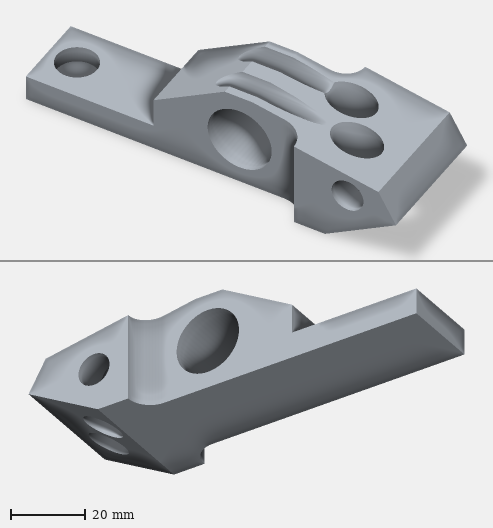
import cadquery as cq
import math

length = 120.0
height = 30.0
plate_length = 40.0
plate_thickness = 8.0
crest_start = 62.3
crest_end = 71.0
nose_tip_z = 12.8
rear_slope = 30.0
front_slope = 10.0
nose_slope = 60.0
underside_slope = 30.0

head_width = 38.0
arm_width = 24.0
shoulder_radius = (head_width - arm_width) / 2
shoulder_start = 81.0

bore_diameter = 20.0
bore_x = 67.0
bore_z = height / 2

plate_hole_diameter = 12.5
plate_hole_x = 9.0
plate_hole_depth = 5.0

lane_offset = 6.0
inclined_diameter = 12.0
inclined_angle = 60.0
near_hole_x = 100.2
far_hole_x = 91.5
groove_radius = 3.5
side_hole_diameter = 10.0
near_side_hole_z = 16.8
far_side_hole_z = 13.3


def tan_deg(angle):
    return math.tan(math.radians(angle))


def front_slope_z(x):
    return height - (x - crest_end) * tan_deg(front_slope)


def make_profile():
    """Side outline extruded across the full head width, centred on Y = 0."""
    step_top_z = height - (crest_start - plate_length) * tan_deg(rear_slope)
    underside_start = length - nose_tip_z / tan_deg(underside_slope)
    rise_at_tip = front_slope_z(length) - nose_tip_z
    nose_setback = rise_at_tip / (tan_deg(nose_slope) - tan_deg(front_slope))
    nose_top_x = length - nose_setback
    points = [
        (0, 0),
        (underside_start, 0),
        (length, nose_tip_z),
        (nose_top_x, front_slope_z(nose_top_x)),
        (crest_end, height),
        (crest_start, height),
        (plate_length, step_top_z),
        (plate_length, plate_thickness),
        (0, plate_thickness),
    ]
    return cq.Workplane("XZ").polyline(points).close().extrude(head_width / 2, both=True)


def make_plan():
    """Plan outline with quarter-circle shoulders between the arm and the head."""
    half_arm = arm_width / 2
    half_head = head_width / 2
    head_start = shoulder_start + shoulder_radius
    arc_reach = shoulder_radius * math.sqrt(0.5)
    arc_x = shoulder_start + arc_reach
    arc_y = half_head - arc_reach
    return (
        cq.Workplane("XY")
        .moveTo(0, -half_arm)
        .lineTo(shoulder_start, -half_arm)
        .threePointArc((arc_x, -arc_y), (head_start, -half_head))
        .lineTo(length, -half_head)
        .lineTo(length, half_head)
        .lineTo(head_start, half_head)
        .threePointArc((arc_x, arc_y), (shoulder_start, half_arm))
        .lineTo(0, half_arm)
        .close()
        .extrude(height)
    )


def make_cross_bore():
    return (
        cq.Workplane("XZ")
        .center(bore_x, bore_z)
        .circle(bore_diameter / 2)
        .extrude(head_width / 2, both=True)
    )


def make_plate_hole():
    return (
        cq.Workplane("XY", origin=(plate_hole_x, 0, plate_thickness - plate_hole_depth))
        .circle(plate_hole_diameter / 2)
        .extrude(plate_hole_depth)
    )


def make_inclined_hole(x, y):
    """Through hole whose axis crosses the front slope at (x, y) and falls toward the nose."""
    angle = math.radians(inclined_angle)
    axis = (math.cos(angle), 0, -math.sin(angle))
    plane = cq.Plane(origin=(x, y, front_slope_z(x)), xDir=(0, 1, 0), normal=axis)
    return cq.Workplane(plane).circle(inclined_diameter / 2).extrude(2 * height, both=True)


def make_groove(y):
    """Round-bottomed groove over the crest, running out on the slopes at both ends."""
    groove_length = far_hole_x - plate_length
    return (
        cq.Workplane("YZ", origin=(plate_length, y, height))
        .circle(groove_radius)
        .extrude(groove_length)
    )


def make_side_hole(top_x, y, z):
    """Hole from the nearest side face to the axis of the inclined hole."""
    x = top_x + (front_slope_z(top_x) - z) / tan_deg(inclined_angle)
    side = math.copysign(1, y)
    plane = cq.Plane(origin=(x, y, z), xDir=(1, 0, 0), normal=(0, side, 0))
    depth = head_width / 2 - abs(y)
    return cq.Workplane(plane).circle(side_hole_diameter / 2).extrude(depth)


result = make_profile().intersect(make_plan())
result = result.cut(make_cross_bore()).cut(make_plate_hole())

lanes = [
    (near_hole_x, -lane_offset, near_side_hole_z),
    (far_hole_x, lane_offset, far_side_hole_z),
]
for hole_x, lane_y, side_z in lanes:
    result = result.cut(make_groove(lane_y))
    result = result.cut(make_inclined_hole(hole_x, lane_y))
    result = result.cut(make_side_hole(hole_x, lane_y, side_z))